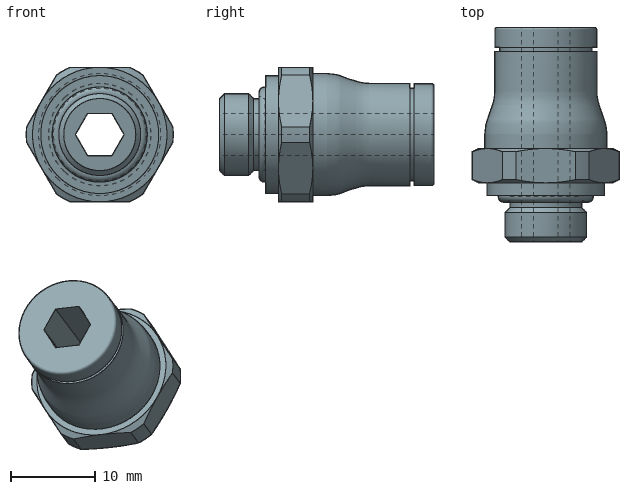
import cadquery as cq
import math

total_length = 25.5

thread_radius = 4.87
thread_chamfer = 0.59
thread_end = 3.47
neck_radius = thread_radius - thread_chamfer
neck_start = thread_end + thread_chamfer

collar_radius = 7.0
collar_start = 5.48
seal_section_radius = 0.7
seal_centre_radius = neck_radius + seal_section_radius
seal_centre_y = 5.38

nut_flats = 16.0
nut_corner_radius = 8.75
nut_start = 7.0
nut_end = 11.1
nut_chamfer = 0.38

body_radius = 7.27
body_end = 12.8
socket_radius = 6.1
socket_end = 22.65
blend_radius = 4.85
blend_angle = math.radians(19)

groove_radius = 5.5
cap_radius = 6.07
cap_start = 23.13
cap_fillet = 0.3

key_flats = 5.0


def revolve_about_y(profile):
    return profile.close().revolve(360, (0, 0, 0), (0, 1, 0))


def hexagon_bar(flats, start, end):
    """Hexagonal bar along Y with two flats facing up and down."""
    corner_diameter = flats / math.cos(math.pi / 6)
    plane = cq.Workplane("XZ", origin=(0, start, 0))
    return plane.polygon(6, corner_diameter).extrude(start - end)


def make_threaded_end():
    profile = (
        cq.Workplane("XY")
        .lineTo(thread_radius - thread_chamfer, 0)
        .lineTo(thread_radius, thread_chamfer)
        .lineTo(thread_radius, thread_end)
        .lineTo(neck_radius, neck_start)
        .lineTo(neck_radius, collar_start)
        .lineTo(collar_radius, collar_start)
        .lineTo(collar_radius, nut_start)
        .lineTo(0, nut_start)
    )
    return revolve_about_y(profile)


def make_seal():
    section = cq.Workplane("XY").center(seal_centre_radius, seal_centre_y).circle(seal_section_radius)
    return section.revolve(360, (-seal_centre_radius, 0, 0), (-seal_centre_radius, 1, 0))


def make_nut():
    face_radius = nut_flats / 2
    envelope = (
        cq.Workplane("XY")
        .moveTo(0, nut_start)
        .lineTo(face_radius, nut_start)
        .lineTo(nut_corner_radius, nut_start + nut_chamfer)
        .lineTo(nut_corner_radius, nut_end - nut_chamfer)
        .lineTo(face_radius, nut_end)
        .lineTo(0, nut_end)
    )
    return hexagon_bar(nut_flats, nut_start, nut_end).intersect(revolve_about_y(envelope))


def make_body():
    arc_step = blend_radius * (1 - math.cos(blend_angle))
    arc_length = blend_radius * math.sin(blend_angle)
    mid_step = blend_radius * (1 - math.cos(blend_angle / 2))
    mid_length = blend_radius * math.sin(blend_angle / 2)
    cone_step = body_radius - socket_radius - 2 * arc_step
    cone_start = body_end + arc_length
    cone_end = cone_start + cone_step / math.tan(blend_angle)
    socket_start = cone_end + arc_length

    profile = (
        cq.Workplane("XY")
        .moveTo(0, nut_end)
        .lineTo(body_radius, nut_end)
        .lineTo(body_radius, body_end)
        .threePointArc((body_radius - mid_step, body_end + mid_length), (body_radius - arc_step, cone_start))
        .lineTo(socket_radius + arc_step, cone_end)
        .threePointArc((socket_radius + mid_step, socket_start - mid_length), (socket_radius, socket_start))
        .lineTo(socket_radius, socket_end)
        .lineTo(groove_radius, socket_end)
        .lineTo(groove_radius, cap_start)
        .lineTo(0, cap_start)
    )
    return revolve_about_y(profile)


def make_cap():
    cap = cq.Workplane("XZ", origin=(0, cap_start, 0)).circle(cap_radius).extrude(cap_start - total_length)
    return cap.faces(">Y").edges().fillet(cap_fillet)


fitting = make_threaded_end().union(make_seal()).union(make_nut()).union(make_body()).union(make_cap())
result = fitting.cut(hexagon_bar(key_flats, 0, total_length))